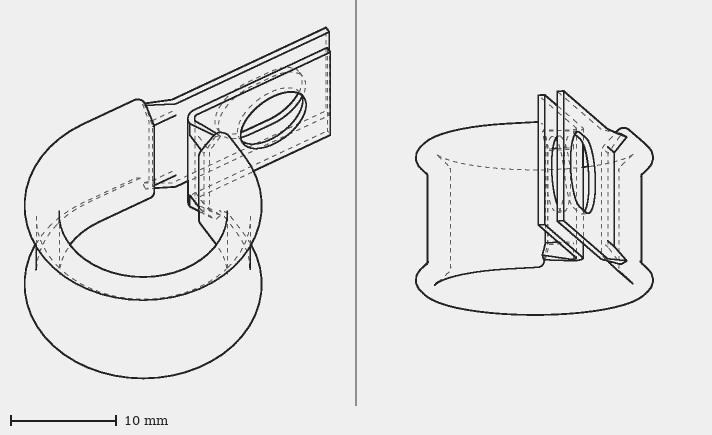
import cadquery as cq
import math


overall_length = 37.0
overall_width = 22.45

outer_radius = overall_width / 2
wall_outer_radius = 10.15
wall_inner_radius = 7.95
half_height = 7.03
flange_thickness = 2.0
outer_rounding = 0.78
bore_rounding = 1.2

loop_angle = 270
straight_by_slotted_tab = 6.25
straight_by_round_tab = 3.45
end_rounding = 0.55

strip_thickness = 0.63
strip_half_width = 6.3
strip_inner_radius = (wall_inner_radius + wall_outer_radius - strip_thickness) / 2
strip_outer_radius = strip_inner_radius + strip_thickness

flare_length = 2.55
flare_start_height = 4.55
flare_tip_outer = (10.58, 6.0)
flare_tip_inner = (10.02, 6.33)

slotted_tab_end_y = overall_length - outer_radius
tab_spacing = 1.5
round_tab_end_y = 24.6
hole_y = 18.3
hole_diameter = 7.2
slot_length = 9.6


def cushion_section():
    """Channel section in (radius, height) with flanges leaning out at 45 degrees."""
    corner_overshoot = outer_rounding * (math.sqrt(2) - 1)
    tip_step = flange_thickness / math.sqrt(2)
    upper_tip_z = half_height + corner_overshoot
    lower_tip_r = outer_radius + corner_overshoot
    upper_tip_r = lower_tip_r - tip_step
    lower_tip_z = upper_tip_z - tip_step
    upper_half = [
        (wall_inner_radius, upper_tip_z - (upper_tip_r - wall_inner_radius)),
        (upper_tip_r, upper_tip_z),
        (lower_tip_r, lower_tip_z),
        (wall_outer_radius, lower_tip_z - (lower_tip_r - wall_outer_radius)),
    ]
    lower_half = [(r, -z) for r, z in reversed(upper_half)]
    outline = upper_half + lower_half
    section = cq.Sketch().polygon(outline + outline[:1])
    section = section.vertices("not <X").fillet(outer_rounding).reset()
    return section.vertices("<X").fillet(bore_rounding).reset()


def cushion():
    section = cushion_section()
    slotted_end = cq.Plane(origin=(0, 0, 0), xDir=(-1, 0, 0), normal=(0, 1, 0))
    round_end = cq.Plane(origin=(0, 0, 0), xDir=(0, 1, 0), normal=(-1, 0, 0))
    loop = (
        cq.Workplane(slotted_end)
        .placeSketch(section)
        .revolve(loop_angle, (0, 0, 0), (0, 1, 0))
    )
    slotted_run = (
        cq.Workplane(slotted_end)
        .placeSketch(section)
        .extrude(straight_by_slotted_tab)
        .faces(">Y").edges().fillet(end_rounding)
    )
    round_run = (
        cq.Workplane(round_end)
        .placeSketch(section)
        .extrude(straight_by_round_tab)
        .faces("<X").edges().fillet(end_rounding)
    )
    return loop.union(slotted_run).union(round_run)


def flared_strip(plane):
    """Strip from a tab to the cushion; plane normal runs along it, plane x points outward."""
    strip = (
        cq.Workplane(plane)
        .center((strip_inner_radius + strip_outer_radius) / 2, 0)
        .rect(strip_thickness, 2 * flare_start_height)
        .extrude(flare_length)
    )
    root = [(strip_inner_radius, flare_start_height), (strip_outer_radius, flare_start_height)]
    flat_edge = root + [
        (strip_outer_radius, strip_half_width),
        (strip_inner_radius, strip_half_width),
    ]
    flared_edge = root + [flare_tip_outer, flare_tip_inner]
    for side in (1, -1):
        edge = (
            cq.Workplane(plane)
            .polyline([(r, side * z) for r, z in flat_edge]).close()
            .workplane(offset=flare_length)
            .polyline([(r, side * z) for r, z in flared_edge]).close()
            .loft(ruled=True)
        )
        strip = strip.union(edge)
    return strip


def slotted_tab():
    start_y = straight_by_slotted_tab + flare_length
    tab_length = slotted_tab_end_y - start_y
    tab = (
        cq.Workplane("XY")
        .box(strip_thickness, tab_length, 2 * strip_half_width, centered=(False, False, True))
        .translate((-strip_outer_radius, start_y, 0))
    )
    slot = (
        cq.Workplane("YZ", origin=(-strip_outer_radius, hole_y, 0))
        .slot2D(slot_length, hole_diameter)
        .extrude(strip_thickness)
    )
    neck = cq.Plane(origin=(0, start_y, 0), xDir=(-1, 0, 0), normal=(0, -1, 0))
    return tab.cut(slot).union(flared_strip(neck))


def round_hole_tab():
    foot_x = -straight_by_round_tab - flare_length
    outer_face_x = -strip_inner_radius + tab_spacing
    inner_face_x = outer_face_x + strip_thickness
    bend_outer_radius = foot_x - outer_face_x
    bend_inner_radius = bend_outer_radius - strip_thickness
    bend_y = strip_inner_radius + bend_outer_radius
    tab = (
        cq.Workplane("XY", origin=(0, 0, -strip_half_width))
        .moveTo(outer_face_x, round_tab_end_y)
        .lineTo(outer_face_x, bend_y)
        .radiusArc((foot_x, strip_inner_radius), -bend_outer_radius)
        .lineTo(foot_x, strip_outer_radius)
        .radiusArc((inner_face_x, bend_y), bend_inner_radius)
        .lineTo(inner_face_x, round_tab_end_y)
        .close()
        .extrude(2 * strip_half_width)
    )
    hole = (
        cq.Workplane("YZ", origin=(outer_face_x, hole_y, 0))
        .circle(hole_diameter / 2)
        .extrude(strip_thickness)
    )
    neck = cq.Plane(origin=(foot_x, 0, 0), xDir=(0, 1, 0), normal=(1, 0, 0))
    return tab.cut(hole).union(flared_strip(neck))


result = cushion().union(slotted_tab()).union(round_hole_tab())